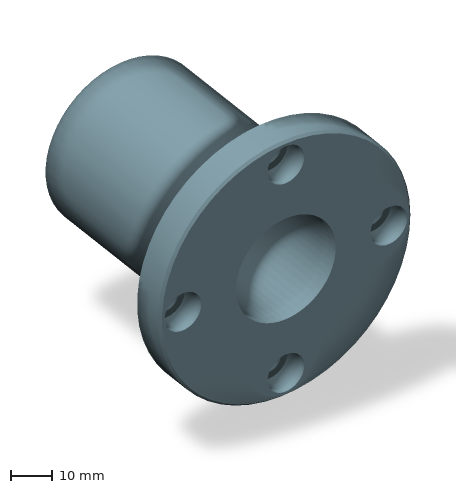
import cadquery as cq
import math

total_length = 68.0
flange_diameter = 76.0
flange_thickness = 10.0
sleeve_diameter = 47.0
bore_diameter = 30.0

hole_count = 4
hole_diameter = 7.0
hole_circle_diameter = 62.0
counterbore_diameter = 11.0
counterbore_depth = 6.85

flange_chamfer = 0.7
sleeve_end_fillet = 1.2
neck_width = 0.7
neck_depth = 0.7

flange_radius = flange_diameter / 2
sleeve_radius = sleeve_diameter / 2
bore_radius = bore_diameter / 2
neck_radius = sleeve_radius - neck_depth
flange_start = total_length - flange_thickness
neck_start = flange_start - neck_width


def make_body():
    """Revolve the half section of the flanged sleeve about X."""
    fillet_inset = sleeve_end_fillet * (1 - math.sqrt(0.5))
    section = (
        cq.Workplane("XY")
        .moveTo(0, bore_radius)
        .lineTo(0, sleeve_radius - sleeve_end_fillet)
        .threePointArc(
            (fillet_inset, sleeve_radius - fillet_inset),
            (sleeve_end_fillet, sleeve_radius),
        )
        .lineTo(neck_start, sleeve_radius)
        .lineTo(neck_start, neck_radius)
        .lineTo(flange_start, neck_radius)
        .lineTo(flange_start, flange_radius - flange_chamfer)
        .lineTo(flange_start + flange_chamfer, flange_radius)
        .lineTo(total_length - flange_chamfer, flange_radius)
        .lineTo(total_length, flange_radius - flange_chamfer)
        .lineTo(total_length, bore_radius)
        .close()
    )
    return section.revolve(360, (0, 0, 0), (1, 0, 0))


def make_hole_cylinders(diameter, depth):
    """Cylinders on the hole circle, reaching inward from the outer flange face."""
    return (
        cq.Workplane("YZ", origin=(total_length, 0, 0))
        .polarArray(hole_circle_diameter / 2, 0, 360, hole_count)
        .circle(diameter / 2)
        .extrude(-depth)
    )


through_holes = make_hole_cylinders(hole_diameter, flange_thickness)
counterbores = make_hole_cylinders(counterbore_diameter, counterbore_depth)
result = make_body().cut(through_holes).cut(counterbores)